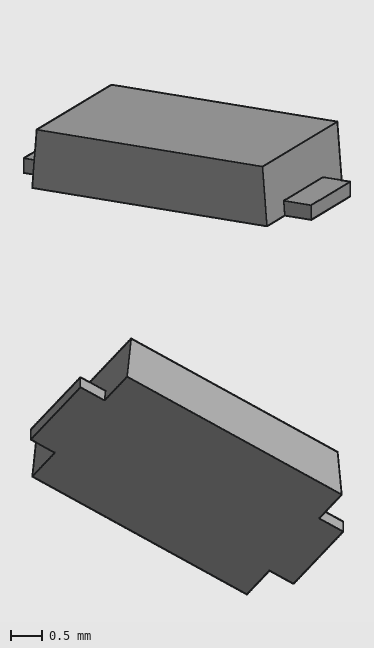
import cadquery as cq

overall_length = 5.2
body_width = 2.6
body_height = 1.0

body_base_length = 4.25
body_top_length = 4.085

lead_width = 1.36
lead_thickness = 0.25


def make_body():
    """Trapezoid in XZ, extruded across the width."""
    half_base = body_base_length / 2
    half_top = body_top_length / 2
    return (
        cq.Workplane("XZ")
        .polyline([
            (-half_base, 0),
            (half_base, 0),
            (half_top, body_height),
            (-half_top, body_height),
        ])
        .close()
        .extrude(body_width / 2, both=True)
    )


def make_leads():
    """One bar through the body forms both leads."""
    return cq.Workplane("XY").box(
        overall_length, lead_width, lead_thickness, centered=(True, True, False)
    )


result = make_body().union(make_leads())